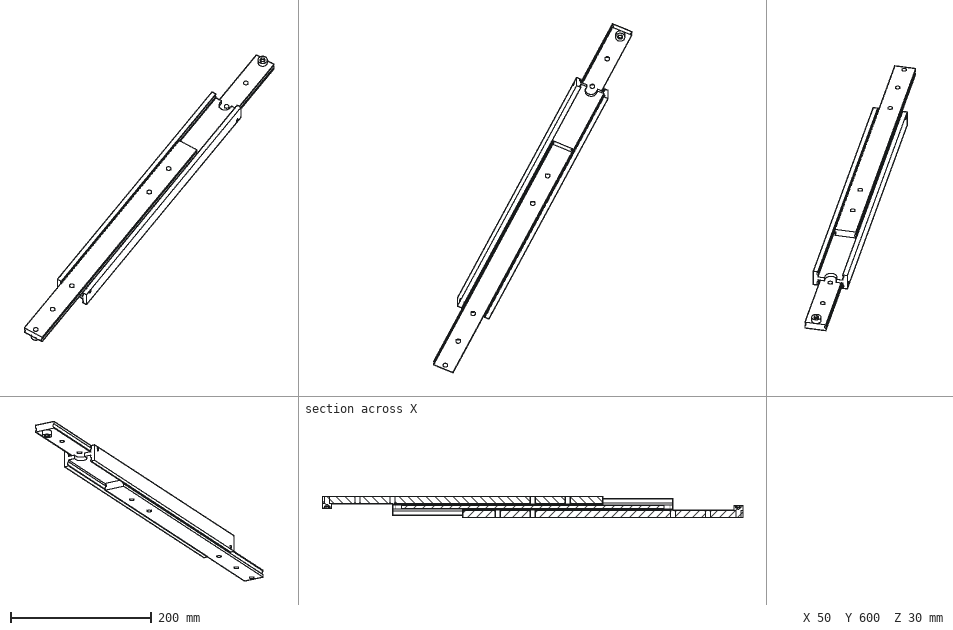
import cadquery as cq

total_length = 600.0
rail_length = total_length * 2 / 3
overlap_shift = (total_length - rail_length) / 2

housing_width = 50.0
housing_height = 24.0
web_thickness = 5.5
flange_inner_half = 18.0
web_notch_radius = 8.5
web_notch_depth = 12.5
side_hole_diameter = 4.0
side_hole_inset = 9.5

slide_width = 30.5
slide_outer_z = 15.0
slide_inner_z = 4.5

groove_radius = 3.0
groove_x = (flange_inner_half + slide_width / 2) / 2
groove_z = 8.5

mount_hole_diameter = 6.5
mount_hole_insets = (rail_length / 8, rail_length / 4)

head_diameter = 13.0
head_height = 6.5
socket_across_corners = 7.0
socket_depth = 3.0
socket_point_diameter = 5.5
screw_y = -total_length / 2 + head_diameter / 2


def ball_groove_cutters(z):
    """Long rods at groove height, one on each side."""
    return (
        cq.Workplane("XZ")
        .pushPoints([(-groove_x, z), (groove_x, z)])
        .circle(groove_radius)
        .extrude(total_length, both=True)
    )


def web_notch_cutter():
    """Round-ended slot in the web, open at the +Y end."""
    end_y = rail_length / 2
    arc_y = end_y - web_notch_depth + web_notch_radius
    return (
        cq.Workplane("XY")
        .moveTo(-web_notch_radius, end_y)
        .lineTo(-web_notch_radius, arc_y)
        .threePointArc((0, end_y - web_notch_depth), (web_notch_radius, arc_y))
        .lineTo(web_notch_radius, end_y)
        .close()
        .extrude(web_thickness, both=True)
    )


def side_hole_cutter():
    """Hole across both flanges into the lower ball grooves, near the +Y end."""
    return (
        cq.Workplane("YZ")
        .center(rail_length / 2 - side_hole_inset, -groove_z)
        .circle(side_hole_diameter / 2)
        .extrude(housing_width, both=True)
    )


def flip(shape):
    """Turn half a revolution about X: swaps the ends and the upper and lower sides."""
    return shape.rotate((0, 0, 0), (1, 0, 0), 180)


def make_housing():
    """H section with ball grooves, and the same notch and side holes at both ends."""
    body = cq.Workplane("XY").box(housing_width, rail_length, housing_height)
    channel_depth = (housing_height - web_thickness) / 2
    for side in (-1, 1):
        channel_z = side * (web_thickness + channel_depth) / 2
        channel = cq.Workplane("XY").box(2 * flange_inner_half, rail_length, channel_depth)
        body = body.cut(channel.translate((0, 0, channel_z)))
        body = body.cut(ball_groove_cutters(side * groove_z))
    end_features = web_notch_cutter().union(side_hole_cutter())
    return body.cut(end_features).cut(flip(end_features))


def make_upper_slide():
    """Grooved bar reaching to the -Y end, with mounting holes and a hole for its stop screw."""
    thickness = slide_outer_z - slide_inner_z
    body = (
        cq.Workplane("XY")
        .box(slide_width, rail_length, thickness)
        .translate((0, -overlap_shift, (slide_outer_z + slide_inner_z) / 2))
        .cut(ball_groove_cutters(groove_z))
    )
    from_middle = [rail_length / 2 - inset for inset in mount_hole_insets]
    hole_places = [(0, sign * y - overlap_shift) for y in from_middle for sign in (-1, 1)]
    holes = (
        cq.Workplane("XY")
        .pushPoints(hole_places + [(0, screw_y)])
        .circle(mount_hole_diameter / 2)
        .extrude(slide_outer_z)
    )
    return body.cut(holes)


def make_upper_screw():
    """Hexagon-socket screw whose head hangs below the upper slide and whose shank fills its hole."""
    head_z = slide_inner_z - head_height
    head = cq.Workplane("XY", origin=(0, screw_y, head_z)).circle(head_diameter / 2).extrude(head_height)
    socket = (
        cq.Workplane("XY", origin=(0, screw_y, head_z))
        .transformed(rotate=(0, 0, 90))
        .polygon(6, socket_across_corners)
        .extrude(socket_depth)
    )
    socket_point = cq.Workplane(
        cq.Solid.makeCone(
            socket_point_diameter / 2,
            0.0,
            socket_point_diameter / 2,
            pnt=cq.Vector(0, screw_y, head_z + socket_depth),
        )
    )
    shank = (
        cq.Workplane("XY", origin=(0, screw_y, slide_inner_z))
        .circle(mount_hole_diameter / 2)
        .extrude(slide_outer_z - slide_inner_z)
    )
    return head.cut(socket).cut(socket_point).union(shank)


housing = make_housing()
upper_slide = make_upper_slide()
upper_screw = make_upper_screw()
slides = [upper_slide, flip(upper_slide)]
stop_screws = [upper_screw, flip(upper_screw)]

result = cq.Compound.makeCompound([body.val() for body in [housing, *slides, *stop_screws]])